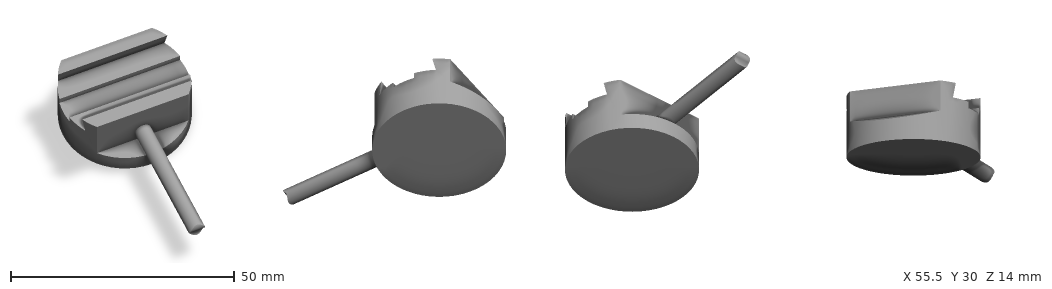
import cadquery as cq

base_diameter = 30.0
base_radius = base_diameter / 2
base_height = 14.0
slope_wall_offset = 10.1
ledge_wall_offset = 10.0

slope_outer_z = 5.0
slope_inner_z = 7.0
ledge_z = 4.0

channel_floor_z = 10.5
channel_top_half_width = 6.75
channel_floor_half_width = 7.5
groove_floor_z = 9.0
groove_half_width = 2.8

cable_diameter = 3.9
cable_radius = cable_diameter / 2
cable_axis_z = 6.45
overall_length = 55.5
cable_tip_x = overall_length - base_radius
break_wave = 0.5


def make_base():
    """Cross-section extruded along Y and trimmed to a round outline."""
    section = (
        cq.Workplane("XZ")
        .moveTo(-base_radius, 0)
        .lineTo(base_radius, 0)
        .lineTo(base_radius, ledge_z)
        .lineTo(ledge_wall_offset, ledge_z)
        .lineTo(ledge_wall_offset, base_height)
        .lineTo(channel_top_half_width, base_height)
        .lineTo(channel_floor_half_width, channel_floor_z)
        .lineTo(groove_half_width, channel_floor_z)
        .lineTo(groove_half_width, groove_floor_z)
        .lineTo(-groove_half_width, groove_floor_z)
        .lineTo(-groove_half_width, channel_floor_z)
        .lineTo(-channel_floor_half_width, channel_floor_z)
        .lineTo(-channel_top_half_width, base_height)
        .lineTo(-slope_wall_offset, base_height)
        .lineTo(-slope_wall_offset, slope_inner_z)
        .lineTo(-base_radius, slope_outer_z)
        .close()
        .extrude(base_radius, both=True)
    )
    outline = cq.Workplane("XY").circle(base_radius).extrude(base_height)
    return outline.intersect(section)


def make_cable():
    """Round cable whose free end is cut to an S-shaped break."""
    rod = (
        cq.Workplane("YZ", origin=(ledge_wall_offset, 0, cable_axis_z))
        .circle(cable_radius)
        .extrude(cable_tip_x - ledge_wall_offset)
    )
    break_x = cable_tip_x - break_wave
    top_z = cable_axis_z + cable_radius
    bottom_z = cable_axis_z - cable_radius
    kept_length = (
        cq.Workplane("XZ")
        .moveTo(ledge_wall_offset, top_z)
        .lineTo(break_x, top_z)
        .threePointArc(
            (break_x + break_wave, cable_axis_z + cable_radius / 2),
            (break_x, cable_axis_z),
        )
        .threePointArc(
            (break_x - break_wave, cable_axis_z - cable_radius / 2),
            (break_x, bottom_z),
        )
        .lineTo(ledge_wall_offset, bottom_z)
        .close()
        .extrude(cable_diameter, both=True)
    )
    return rod.intersect(kept_length)


base = make_base()
cable = make_cable()

result = cq.Compound.makeCompound([base.val(), cable.val()])